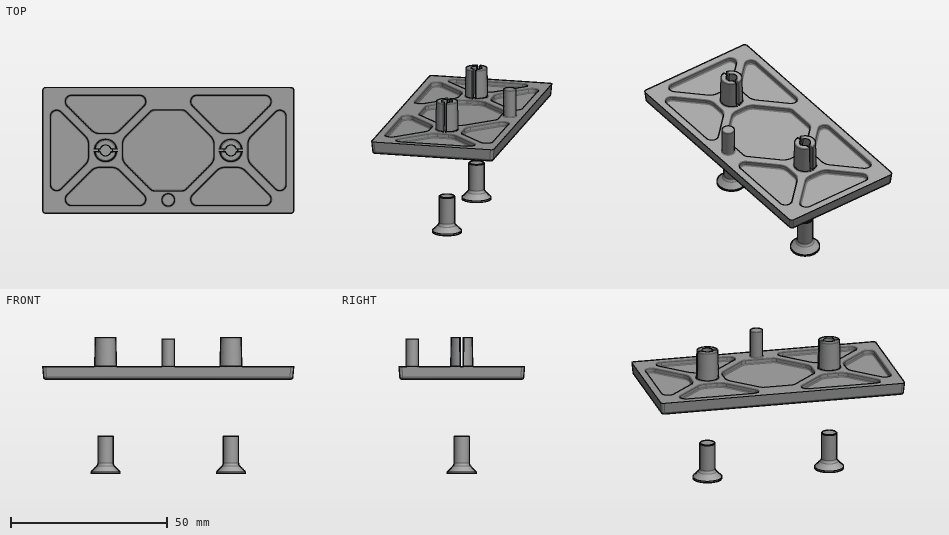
import cadquery as cq
import math

plate_length = 80.2
plate_width = 40.2
plate_thickness = 4.0
plate_top = 34.1
plate_draft = 5.0
corner_radius = 1.0
bottom_edge_radius = 0.7

pocket_depth = 1.5
pocket_floor_radius = 0.25
rim_width = 2.5
rib_width = 2.7
post_pad_half = 5.4
octagon_half_width = 12.9
outer_corner_radius = 2.0
pad_corner_radius = 4.0

post_spacing = 40.0
post_top = 43.5
post_top_diameter = 6.7
post_draft = 1.25
bore_top_diameter = 3.5
bore_draft = 2.5
slot_width = 0.8

pin_diameter = 4.0
pin_top = 43.0
pin_y = -15.8

edge_radius = 0.2

shank_diameter = 5.0
head_diameter = 9.3
head_rim_height = 0.6
head_cone_angle = 45.0
neck_radius = 1.4
screw_length = 12.0
screw_tip_chamfer = 0.25

post_x = post_spacing / 2
plate_bottom = plate_top - plate_thickness
rib_offset = rib_width / 2 * math.sqrt(2)


def make_plate_blank():
    """Tapered slab with rounded corners and a rounded bottom edge."""
    return (
        cq.Workplane("XY", origin=(0, 0, plate_top))
        .rect(plate_length, plate_width)
        .extrude(-plate_thickness, taper=plate_draft)
        .edges("not(#Z)")
        .fillet(corner_radius)
        .faces("<Z")
        .edges()
        .fillet(bottom_edge_radius)
    )


def make_pocket(corners, pad_corners):
    """Cutter with rounded corners and a rounded floor edge."""
    cutter = cq.Workplane("XY", origin=(0, 0, plate_top)).polyline(corners).close().extrude(-pocket_depth)
    for x, y in corners:
        radius = pad_corner_radius if (x, y) in pad_corners else outer_corner_radius
        upright_edge = cq.selectors.NearestToPointSelector((x, y, plate_top - pocket_depth / 2))
        cutter = cutter.edges("|Z").edges(upright_edge).fillet(radius)
    return cutter.faces("<Z").edges().fillet(pocket_floor_radius)


def make_trapezoid_pocket(outer_distance):
    """Pocket opening along +Y from a post centre at the origin, out to the given distance."""
    inner_half = post_pad_half - rib_offset
    outer_half = outer_distance - rib_offset
    outer_corners = [(outer_half, outer_distance), (-outer_half, outer_distance)]
    pad_corners = [(-inner_half, post_pad_half), (inner_half, post_pad_half)]
    return make_pocket(outer_corners + pad_corners, pad_corners)


def make_octagon_pocket():
    """Central pocket between the two posts."""
    side_x = post_x - post_pad_half
    side_half = post_pad_half - rib_offset
    top_half = post_x - rib_offset - octagon_half_width
    right_side = [(side_x, -side_half), (side_x, side_half)]
    left_side = [(-side_x, side_half), (-side_x, -side_half)]
    top_side = [(top_half, octagon_half_width), (-top_half, octagon_half_width)]
    bottom_side = [(-top_half, -octagon_half_width), (top_half, -octagon_half_width)]
    return make_pocket(right_side + top_side + left_side + bottom_side, right_side + left_side)


def make_foot(x, y, radius):
    """Ring that blends an upright of the given radius into the plate."""
    return (
        cq.Workplane("XZ")
        .moveTo(radius - edge_radius, plate_top)
        .lineTo(radius + edge_radius, plate_top)
        .radiusArc((radius, plate_top + edge_radius), edge_radius)
        .lineTo(radius - edge_radius, plate_top + edge_radius)
        .close()
        .revolve(360, (0, 0, 0), (0, 1, 0))
        .translate((x, y, 0))
    )


def make_slot(x):
    """Slit along X that splits a post down to the plate."""
    return (
        cq.Workplane("XY", origin=(x, 0, plate_top))
        .rect(2 * post_pad_half, slot_width)
        .extrude(post_top - plate_top)
    )


def make_bore(x):
    """Conical bore through post and plate, narrowest at the tip of the post."""
    return (
        cq.Workplane("XY", origin=(x, 0, post_top))
        .circle(bore_top_diameter / 2)
        .extrude(plate_bottom - post_top, taper=-bore_draft)
    )


def make_split_post(x):
    """Cone widening downward, split in two halves whose free edges are rounded."""
    height = post_top - plate_top
    base_radius = post_top_diameter / 2 + height * math.tan(math.radians(post_draft))
    halves = (
        cq.Workplane("XY", origin=(x, 0, post_top))
        .circle(post_top_diameter / 2)
        .extrude(-height, taper=-post_draft)
        .cut(make_slot(x))
        .edges("not(<Z)")
        .fillet(edge_radius)
    )
    return halves.union(make_foot(x, 0, base_radius).cut(make_slot(x)))


def make_pin():
    """Round locating pin with a rounded tip and foot."""
    radius = pin_diameter / 2
    pin = (
        cq.Workplane("XY", origin=(0, pin_y, plate_top))
        .circle(radius)
        .extrude(pin_top - plate_top)
        .faces(">Z")
        .edges()
        .fillet(edge_radius)
    )
    return pin.union(make_foot(0, pin_y, radius))


def make_pocketed_plate():
    """Plate blank with all seven pockets cut and their rims rounded."""
    plate = make_plate_blank().cut(make_octagon_pocket())
    long_pocket = make_trapezoid_pocket(plate_width / 2 - rim_width)
    end_pocket = make_trapezoid_pocket(plate_length / 2 - rim_width - post_x)
    for side in (-1, 1):
        x = side * post_x
        for pocket, turn in ((long_pocket, 0), (long_pocket, 180), (end_pocket, -90 * side)):
            plate = plate.cut(pocket.rotate((0, 0, 0), (0, 0, 1), turn).translate((x, 0, 0)))
    rim_wires = plate.faces(">Z").val().innerWires()
    rim_edges = [edge for wire in rim_wires for edge in wire.Edges()]
    return plate.newObject(rim_edges).fillet(edge_radius)


def make_plate():
    """Pocketed plate with its two split posts and the locating pin."""
    plate = make_pocketed_plate()
    for x in (-post_x, post_x):
        plate = plate.union(make_split_post(x)).cut(make_bore(x))
    return plate.union(make_pin())


def make_screw(x):
    """Countersunk screw with a rounded neck where the cone meets the shank."""
    shank_radius = shank_diameter / 2
    head_radius = head_diameter / 2
    cone_angle = math.radians(head_cone_angle)
    cone_top = head_rim_height + (head_radius - shank_radius) / math.tan(cone_angle)
    neck_tangent = neck_radius * math.tan(cone_angle / 2)
    neck_start = (
        shank_radius + neck_tangent * math.sin(cone_angle),
        cone_top - neck_tangent * math.cos(cone_angle),
    )
    return (
        cq.Workplane("XZ")
        .lineTo(head_radius, 0)
        .lineTo(head_radius, head_rim_height)
        .lineTo(*neck_start)
        .radiusArc((shank_radius, cone_top + neck_tangent), neck_radius)
        .lineTo(shank_radius, screw_length - screw_tip_chamfer)
        .lineTo(shank_radius - screw_tip_chamfer, screw_length)
        .lineTo(0, screw_length)
        .close()
        .revolve(360, (0, 0, 0), (0, 1, 0))
        .translate((x, 0, 0))
    )


plate = make_plate()
screws = [make_screw(side * post_x) for side in (-1, 1)]
result = cq.Compound.makeCompound([plate.val(), *[screw.val() for screw in screws]])